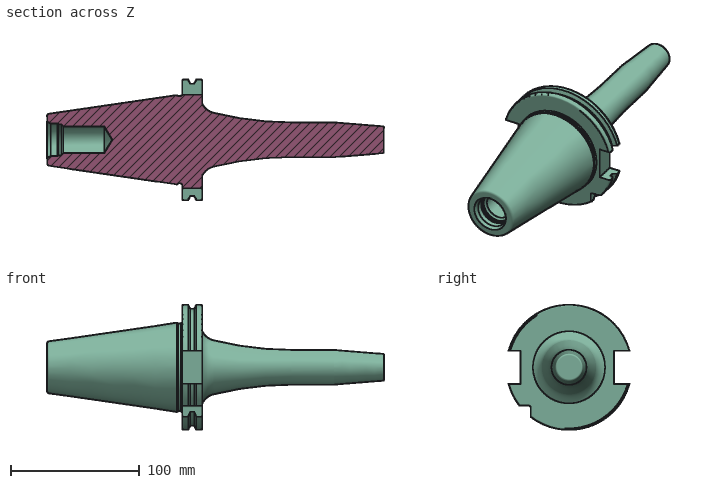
import cadquery as cq
import math

total_length = 261.5

gauge_x = 101.8
gauge_radius = 34.92
taper_slope = 7 / 48
taper_end_x = 100.7
small_end_radius = gauge_radius - gauge_x * taper_slope
taper_end_radius = gauge_radius - (gauge_x - taper_end_x) * taper_slope
small_end_rounding = 2.0

relief_radius = 34.0
relief_start_x = 102.0
relief_end_x = 103.9

flange_start_x = 105.0
flange_end_x = 120.5
flange_radius = 48.7
flange_rounding = 1.3
groove_center_x = 112.7
groove_floor_width = 3.0
groove_depth = 3.1
groove_half_angle = math.radians(30)

root_radius = 28.0
sweep_start_x = 129.2
sweep_start_radius = 21.05
cylinder_start_x = 190.0
cylinder_end_x = 223.0
cylinder_radius = 13.5
nose_radius = 10.5
nose_rounding = 1.3

slot_width = 25.6
slot_floor_front = 37.7
slot_floor_back = 35.0
notch_offset = 29.8
notch_corner_rounding = 1.3

mouth_radius = 14.0
countersink_depth = 3.1
pilot_radius = 12.5
pilot_depth = 7.8
shallow_cone_end = 9.2
lead_in_start = 11.0
lead_in_radius = 12.0
core_radius = 10.2
lead_in_length = lead_in_radius - core_radius
core_depth = 44.5
drill_half_angle = math.radians(59)


def make_body():
    """Revolve the solid outline about the X axis."""
    sweep_length = cylinder_start_x - sweep_start_x
    sweep_rise = sweep_start_radius - cylinder_radius
    sweep_curvature_radius = (sweep_length**2 + sweep_rise**2) / (2 * sweep_rise)
    sweep_center_radius = cylinder_radius + sweep_curvature_radius
    sweep_mid_x = (sweep_start_x + cylinder_start_x) / 2
    sweep_mid_offset = cylinder_start_x - sweep_mid_x
    sweep_mid_radius = sweep_center_radius - math.sqrt(sweep_curvature_radius**2 - sweep_mid_offset**2)

    outline = (
        cq.Workplane("XY")
        .moveTo(total_length, 0)
        .lineTo(total_length, nose_radius)
        .lineTo(cylinder_end_x, cylinder_radius)
        .lineTo(cylinder_start_x, cylinder_radius)
        .threePointArc((sweep_mid_x, sweep_mid_radius), (sweep_start_x, sweep_start_radius))
        .tangentArcPoint((flange_end_x, root_radius), relative=False)
        .lineTo(flange_end_x, flange_radius - flange_rounding)
        .tangentArcPoint((-flange_rounding, flange_rounding))
        .lineTo(flange_start_x + flange_rounding, flange_radius)
        .tangentArcPoint((-flange_rounding, -flange_rounding))
        .lineTo(flange_start_x, gauge_radius)
        .lineTo(relief_end_x, relief_radius)
        .lineTo(relief_start_x, relief_radius)
        .lineTo(taper_end_x, taper_end_radius)
        .lineTo(0, small_end_radius)
        .lineTo(0, 0)
        .close()
    )
    body = outline.revolve(360, (0, 0, 0), (1, 0, 0))
    body = body.faces("<X").edges().fillet(small_end_rounding)
    return body.faces(">X").edges().fillet(nose_rounding)


def make_gripper_groove():
    floor_half = groove_floor_width / 2
    mouth_half = floor_half + groove_depth * math.tan(groove_half_angle)
    floor_radius = flange_radius - groove_depth
    return (
        cq.Workplane("XY")
        .moveTo(groove_center_x - mouth_half, flange_radius)
        .lineTo(groove_center_x - floor_half, floor_radius)
        .lineTo(groove_center_x + floor_half, floor_radius)
        .lineTo(groove_center_x + mouth_half, flange_radius)
        .close()
        .revolve(360, (0, 0, 0), (1, 0, 0))
    )


def flange_block(y_start, z_start, z_height):
    """Block through the flange width, one flange radius long in Y."""
    return cq.Workplane("XY").box(
        flange_end_x - flange_start_x, flange_radius, z_height, centered=False
    ).translate((flange_start_x, y_start, z_start))


def make_flange_cuts():
    front_slot = flange_block(-slot_floor_front - flange_radius, -slot_width / 2, slot_width)
    back_slot = flange_block(slot_floor_back, -slot_width / 2, slot_width)
    notch = flange_block(-notch_offset - flange_radius, -notch_offset - flange_radius, flange_radius)
    notch = notch.edges(">Y and >Z").fillet(notch_corner_rounding)
    return front_slot.union(back_slot).union(notch)


def make_drawbar_hole():
    tip_depth = core_depth + core_radius / math.tan(drill_half_angle)
    return (
        cq.Workplane("XY")
        .lineTo(0, mouth_radius)
        .lineTo(countersink_depth, pilot_radius)
        .lineTo(pilot_depth, pilot_radius)
        .lineTo(shallow_cone_end, lead_in_radius)
        .lineTo(lead_in_start, lead_in_radius)
        .lineTo(lead_in_start + lead_in_length, core_radius)
        .lineTo(core_depth, core_radius)
        .lineTo(tip_depth, 0)
        .close()
        .revolve(360, (0, 0, 0), (1, 0, 0))
    )


result = (
    make_body()
    .cut(make_gripper_groove())
    .cut(make_flange_cuts())
    .cut(make_drawbar_hole())
)